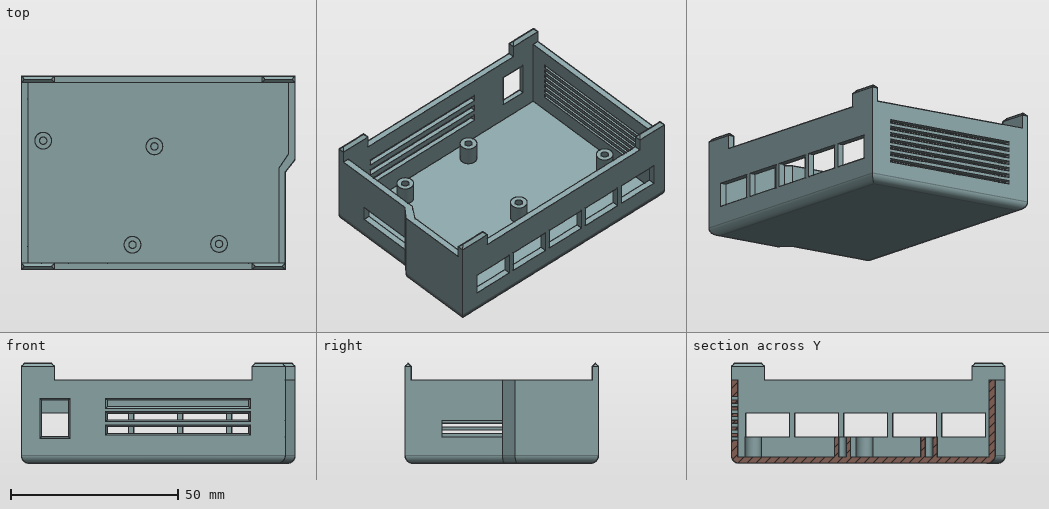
import cadquery as cq

LENGTH = 82.0
DEPTH = 58.0
TOTAL_HEIGHT = 30.0
WALL_HEIGHT = 25.0
WALL = 2.0
FLOOR = WALL
BOTTOM_RADIUS = 2.5

JOG = 2.95
OUTER_JOG_START, OUTER_JOG_END = 29.2, 33.0
INNER_JOG_START, INNER_JOG_END = 30.3, 34.7
FRONT_LENGTH = LENGTH - JOG

TAB_LENGTH = 10.0
TAB_HIP = WALL / 2

BEVEL = 0.5
FRONT_WINDOW_X, FRONT_WINDOW_Z = 5.6, 7.55
FRONT_WINDOW_WIDTH, FRONT_WINDOW_HEIGHT = 9.0, 12.0
FRONT_SLOT_X, FRONT_SLOT_LENGTH = 25.25, 43.3
FRONT_SLOT_BOTTOM, FRONT_SLOT_TOP = 8.5, 19.5
FRONT_SLOT_COUNT = 3
FRONT_SLOT_GAP = 1.0
FRONT_SLOT_PITCH = (FRONT_SLOT_TOP - FRONT_SLOT_BOTTOM + FRONT_SLOT_GAP) / FRONT_SLOT_COUNT
FRONT_SLOT_HEIGHT = FRONT_SLOT_PITCH - FRONT_SLOT_GAP

BACK_WINDOW_COUNT = 5
BACK_WINDOW_X = 4.35
BACK_WINDOW_PITCH = 14.7
BACK_WINDOW_WIDTH = 13.0
BACK_WINDOW_BOTTOM, BACK_WINDOW_TOP = 7.95, 15.1

VENT_COUNT = 7
VENT_START, VENT_END = 7.0, 51.1
VENT_BOTTOM, VENT_TOP = 7.0, 20.0
VENT_HEIGHT = (VENT_TOP - VENT_BOTTOM) / (2 * VENT_COUNT - 1)

SIDE_WINDOW_START = 11.15
SIDE_WINDOW_END = OUTER_JOG_START
SIDE_WINDOW_BOTTOM, SIDE_WINDOW_TOP = 7.95, 12.8

STANDOFF_CENTRES = [(6.6, 38.6), (39.85, 36.9), (33.3, 7.5), (59.2, 7.7)]
STANDOFF_DIAMETER = 5.0
STANDOFF_BORE = 2.2
STANDOFF_HEIGHT = 6.0


def box(x, y, z, length, depth, height):
    """Block with its lowest corner at (x, y, z)."""
    return cq.Workplane("XY").box(length, depth, height, centered=False).translate((x, y, z))


def jogged_prism(margin, jog_start, jog_end, bottom):
    """Plan outline with the jog, inset by the margin, from the bottom to the wall top."""
    outline = [
        (margin, margin),
        (FRONT_LENGTH - margin, margin),
        (FRONT_LENGTH - margin, jog_start),
        (LENGTH - margin, jog_end),
        (LENGTH - margin, DEPTH - margin),
        (margin, DEPTH - margin),
    ]
    return cq.Workplane("XY", origin=(0, 0, bottom)).polyline(outline).close().extrude(WALL_HEIGHT - bottom)


def tray():
    """Open box with rounded bottom edges."""
    outer = jogged_prism(0, OUTER_JOG_START, OUTER_JOG_END, 0)
    outer = outer.faces("<Z").edges().fillet(BOTTOM_RADIUS)
    return outer.cut(jogged_prism(WALL, INNER_JOG_START, INNER_JOG_END, FLOOR))


def tab(x, y):
    """Upright tab whose four top edges slope to a ridge along X."""
    bottom = WALL_HEIGHT - WALL
    block = box(x, y, bottom, TAB_LENGTH, WALL, TOTAL_HEIGHT - bottom)
    eaves = TOTAL_HEIGHT - TAB_HIP
    gable = (
        cq.Workplane("YZ", origin=(x, 0, 0))
        .polyline([(y, bottom), (y + WALL, bottom), (y + WALL, eaves), (y + WALL / 2, TOTAL_HEIGHT), (y, eaves)])
        .close()
        .extrude(TAB_LENGTH)
    )
    return block.faces(">Z").edges("|Y").chamfer(TAB_HIP).intersect(gable)


def bevelled_opening(x, z, width, height):
    """Cutter through the front wall, narrowing from the outer face to a straight bore."""
    bore_width = width - 2 * BEVEL
    bore_height = height - 2 * BEVEL
    bore = box(x + BEVEL, 0, z + BEVEL, bore_width, WALL, bore_height)
    mouth = (
        cq.Workplane("XZ", origin=(x + width / 2, 0, z + height / 2))
        .rect(width, height)
        .workplane(offset=-BEVEL)
        .rect(bore_width, bore_height)
        .loft(ruled=True)
    )
    return bore.union(mouth)


def standoffs():
    return (
        cq.Workplane("XY", origin=(0, 0, FLOOR))
        .pushPoints(STANDOFF_CENTRES)
        .circle(STANDOFF_DIAMETER / 2)
        .circle(STANDOFF_BORE / 2)
        .extrude(STANDOFF_HEIGHT)
    )


result = tray().union(standoffs())

for wall_y, wall_end in [(0, FRONT_LENGTH), (DEPTH - WALL, LENGTH)]:
    for tab_x in [0, wall_end - TAB_LENGTH]:
        result = result.union(tab(tab_x, wall_y))

result = result.cut(
    bevelled_opening(FRONT_WINDOW_X, FRONT_WINDOW_Z, FRONT_WINDOW_WIDTH, FRONT_WINDOW_HEIGHT)
)
for i in range(FRONT_SLOT_COUNT):
    slot_z = FRONT_SLOT_BOTTOM + i * FRONT_SLOT_PITCH
    result = result.cut(bevelled_opening(FRONT_SLOT_X, slot_z, FRONT_SLOT_LENGTH, FRONT_SLOT_HEIGHT))

back_window_height = BACK_WINDOW_TOP - BACK_WINDOW_BOTTOM
for i in range(BACK_WINDOW_COUNT):
    window_x = BACK_WINDOW_X + i * BACK_WINDOW_PITCH
    result = result.cut(
        box(window_x, DEPTH - WALL, BACK_WINDOW_BOTTOM, BACK_WINDOW_WIDTH, WALL, back_window_height)
    )

for i in range(VENT_COUNT):
    vent_z = VENT_BOTTOM + 2 * i * VENT_HEIGHT
    result = result.cut(box(0, VENT_START, vent_z, WALL, VENT_END - VENT_START, VENT_HEIGHT))

result = result.cut(
    box(
        FRONT_LENGTH - WALL,
        SIDE_WINDOW_START,
        SIDE_WINDOW_BOTTOM,
        WALL,
        SIDE_WINDOW_END - SIDE_WINDOW_START,
        SIDE_WINDOW_TOP - SIDE_WINDOW_BOTTOM,
    )
)